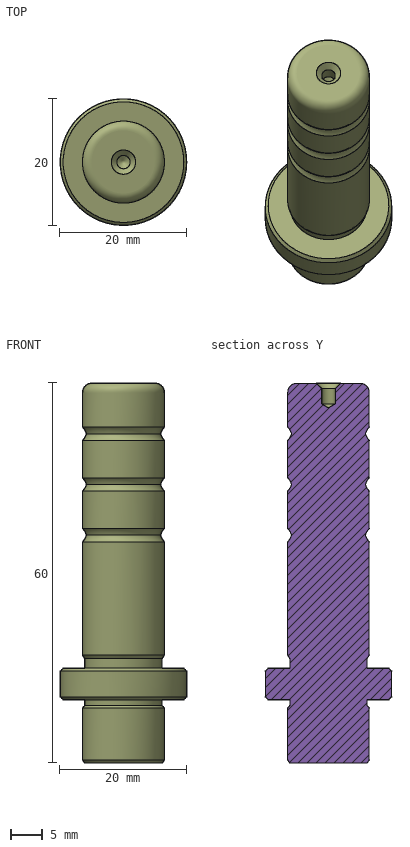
import cadquery as cq
import math

pin_length = 60.0
pin_radius = 6.5
tip_fillet = 1.5
foot_chamfer_height = 0.5
foot_chamfer_depth = 0.35

flange_radius = pin_length / 6
flange_bottom = pin_length / 6
flange_top = pin_length / 4
flange_chamfer = 0.5

neck_radius = pin_radius - 0.35
lower_neck_length = 0.9
lower_neck_taper = 0.35
upper_neck_length = 1.5
upper_neck_taper = 0.55

groove_count = 3
groove_pitch = pin_length * 2 / 15
groove_depth = 0.6
groove_width = 2.1
groove_flank_bulge = 0.08

countersink_radius = 1.9
countersink_angle = 90.0
pilot_radius = 1.05
pilot_depth = 2.4
drill_point_angle = 120.0


def cone_height(large_radius, small_radius, included_angle):
    """Axial length of a cone between two radii."""
    return (large_radius - small_radius) / math.tan(math.radians(included_angle / 2))


def make_body():
    """Pin, relief necks and chamfered flange as one turned profile."""
    lower_neck_start = flange_bottom - lower_neck_length
    upper_neck_end = flange_top + upper_neck_length
    profile = [
        (0, 0),
        (pin_radius - foot_chamfer_depth, 0),
        (pin_radius, foot_chamfer_height),
        (pin_radius, lower_neck_start - lower_neck_taper),
        (neck_radius, lower_neck_start),
        (neck_radius, flange_bottom),
        (flange_radius - flange_chamfer, flange_bottom),
        (flange_radius, flange_bottom + flange_chamfer),
        (flange_radius, flange_top - flange_chamfer),
        (flange_radius - flange_chamfer, flange_top),
        (neck_radius, flange_top),
        (neck_radius, upper_neck_end),
        (pin_radius, upper_neck_end + upper_neck_taper),
        (pin_radius, pin_length),
        (0, pin_length),
    ]
    body = cq.Workplane("XZ").polyline(profile).close().revolve(360, (0, 0), (0, 1))
    return body.faces(">Z").edges().fillet(tip_fillet)


def make_groove(height):
    """Ring that cuts one groove; its two hollow flanks meet in a crease at the root."""
    root = (pin_radius - groove_depth, height)
    section = (
        cq.Workplane("XZ")
        .moveTo(pin_radius, height + groove_width / 2)
        .sagittaArc(root, -groove_flank_bulge)
        .sagittaArc((pin_radius, height - groove_width / 2), -groove_flank_bulge)
        .close()
    )
    return section.revolve(360, (0, 0), (0, 1))


def make_center_hole():
    """Countersink, pilot bore and pointed drill end, opening at the tip."""
    countersink_bottom = pin_length - cone_height(countersink_radius, pilot_radius, countersink_angle)
    pilot_bottom = countersink_bottom - pilot_depth
    drill_point = pilot_bottom - cone_height(pilot_radius, 0, drill_point_angle)
    profile = [
        (0, pin_length),
        (countersink_radius, pin_length),
        (pilot_radius, countersink_bottom),
        (pilot_radius, pilot_bottom),
        (0, drill_point),
    ]
    return cq.Workplane("XZ").polyline(profile).close().revolve(360, (0, 0), (0, 1))


result = make_body().cut(make_center_hole())
for groove_number in range(1, groove_count + 1):
    result = result.cut(make_groove(pin_length - groove_number * groove_pitch))